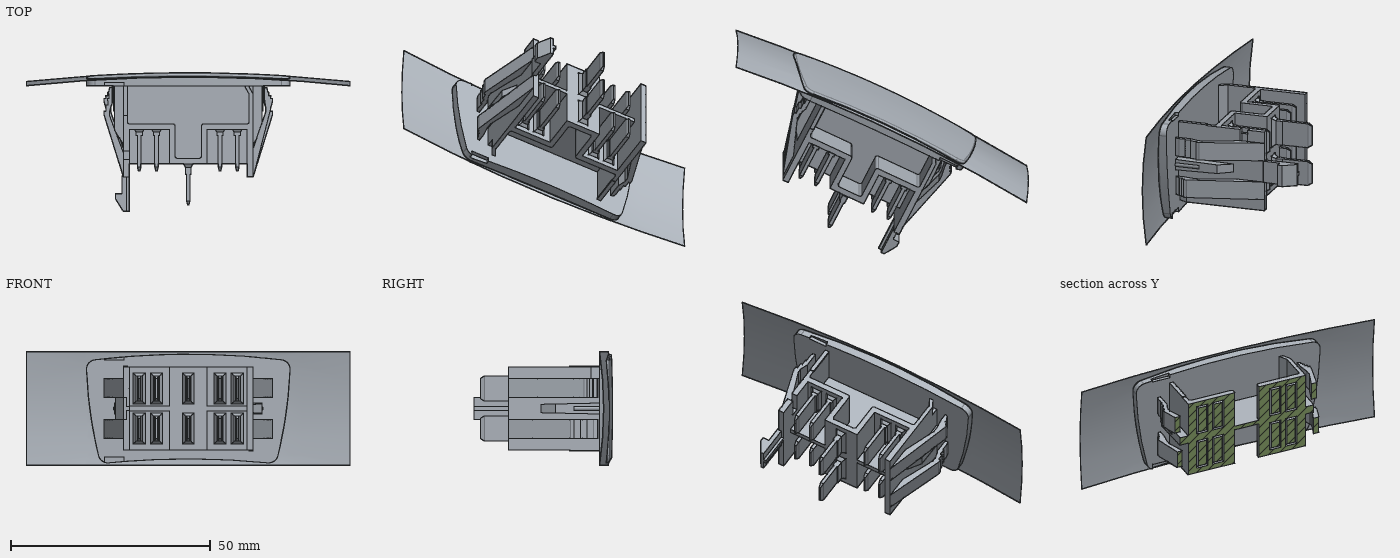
import cadquery as cq


PART_DEPTH = 34.73

PANEL_LENGTH = 81.0
PANEL_HEIGHT = 28.45
PANEL_THICKNESS = 0.12
PANEL_CREST = 3.3
PANEL_SAG_X = 2.15
PANEL_SAG_Z = 1.0

BEZEL_TOP_CORNER = (25.5, 11.9)
BEZEL_BOTTOM_CORNER = (21.9, -13.8)
BEZEL_TOP_MID_Z = 13.6
BEZEL_BOTTOM_MID_Z = -12.6
BEZEL_SIDE_MID = (24.55, -0.9)
BEZEL_CORNER_RADIUS = 2.4
BEZEL_CREST = 3.35
BEZEL_SAG_Z = 0.3
BEZEL_FRONT_RADIUS = 0.5
NOTCH_X = (-20.9, -16.1)
NOTCH_DEPTH = 0.9
NOTCH_INNER_Z = 12.1

HOUSING_HALF_Z = 10.4
PLATE_OUTER_X = 16.25
PLATE_INNER_X = 14.75
PLATE_END_Y = -22.75
BLOCK_END_Y = -19.5
RECESS_FLOOR_Y = -10.95
RECESS_INNER_X = 4.7
CAVITY_HALF_X = 15.25
CAVITY_END_Y = -9.5
STEM_HALF_X = 3.3
STEM_END_Y = -18.1
CAVITY_RADIUS = 0.6
WEB_THICKNESS = 1.2

KINK_OFFSET = 1.15
KINK_LENGTH = 2.1
ARM_INNER_Z = 2.8
ARM_OUTER_Z = 7.45
ARM_REACH = 21.1
ARM_INNER_X = 18.95
ARM_TIP = (-ARM_INNER_X, -0.3)
RIB_OUTER_X = 18.5
RIB_TAPER_Y = -11.0
RIB_END_Y = -14.6
RIB_ROOT_WIDTH = 2.75
RIB_END_WIDTH = 2.1
BEAD_RADIUS = 0.65
BEAD_LENGTH = 6.3
BEAD_RISE = 0.2
PAD_INNER_X = 15.2
PAD_HEIGHT = 0.2
PAD_LENGTH = 7.4
SLOT_Y = (-18.35, -16.3)
SLOT_FLOOR_Z = 5.0

HOOK_OUTER_X = -16.6
HOOK_INNER_X = -15.45
HOOK_TIP_X = -18.25
HOOK_SHOULDER_Y = -26.9
HOOK_NOSE_Y = -28.2
HOOK_END_Y = BEZEL_CREST - PART_DEPTH
HOOK_HALF_Z = ARM_INNER_Z
HOOK_STIFFENER_WIDTH = 1.0

TERMINAL_ROW_Z = 5.0
SIDE_TERMINAL_X = (7.93, 12.27)
POCKET_HEIGHT = 7.85
BLADE_HEIGHT = 6.3
BLADE_WIDTH = 0.9
TIP_WIDTH = 0.4
TIP_LENGTH = 1.0
TIP_CHAMFER = 0.6
SPARE = 5.0
OVERLAP = 0.2


def box(x0, x1, y0, y1, z0, z1):
    """Box between two opposite corners."""
    return cq.Workplane("XY").box(x1 - x0, y1 - y0, z1 - z0, centered=False).translate((x0, y0, z0))


def prism(points, z0, z1):
    """Polygon in the XY plane, raised from z0 to z1."""
    return cq.Workplane("XY", origin=(0, 0, z0)).polyline(points).close().extrude(z1 - z0)


def turned(body):
    """Copy of a body turned half round about the Y axis."""
    return body.rotate((0, 0, 0), (0, 1, 0), 180)


def domed_body(crest, sag_z):
    """Ring whose outside is a double-curved surface with its crest at a given Y."""
    radius_z = (PANEL_HEIGHT / 2) ** 2 / (2 * sag_z)
    axis_y = crest - radius_z
    end = crest - PANEL_SAG_X
    base = end - SPARE
    half = PANEL_LENGTH / 2
    profile = (
        cq.Workplane("XY")
        .moveTo(-half, base)
        .lineTo(-half, end)
        .threePointArc((0, crest), (half, end))
        .lineTo(half, base)
        .close()
    )
    return profile.revolve(360, (0, axis_y, 0), (1, axis_y, 0))


def panel():
    front = domed_body(PANEL_CREST, PANEL_SAG_Z)
    rear = domed_body(PANEL_CREST - PANEL_THICKNESS, PANEL_SAG_Z)
    sheet = front.cut(rear)
    half_x = PANEL_LENGTH / 2 + SPARE
    half_z = PANEL_HEIGHT / 2
    return sheet.intersect(box(-half_x, half_x, -SPARE, PANEL_CREST + SPARE, -half_z, half_z))


def bezel():
    top_x, top_z = BEZEL_TOP_CORNER
    bottom_x, bottom_z = BEZEL_BOTTOM_CORNER
    side_x, side_z = BEZEL_SIDE_MID
    blank = (
        cq.Workplane("XZ")
        .moveTo(-top_x, top_z)
        .threePointArc((0, BEZEL_TOP_MID_Z), (top_x, top_z))
        .threePointArc((side_x, side_z), (bottom_x, bottom_z))
        .threePointArc((0, BEZEL_BOTTOM_MID_Z), (-bottom_x, bottom_z))
        .threePointArc((-side_x, side_z), (-top_x, top_z))
        .close()
        .extrude(-(BEZEL_CREST + SPARE))
        .edges("|Y")
        .fillet(BEZEL_CORNER_RADIUS)
    )
    body = blank.intersect(domed_body(BEZEL_CREST, BEZEL_SAG_Z))
    body = body.faces(">Y").edges().fillet(BEZEL_FRONT_RADIUS)
    for z0, z1 in ((NOTCH_INNER_Z, PANEL_HEIGHT), (-PANEL_HEIGHT, -NOTCH_INNER_Z)):
        body = body.cut(box(*NOTCH_X, -SPARE, NOTCH_DEPTH, z0, z1))
    return body


def cavity():
    """T-shaped cavity open at the top of the housing, with rounded inner corners."""
    outline = [
        (-CAVITY_HALF_X, 0),
        (-CAVITY_HALF_X, CAVITY_END_Y),
        (-STEM_HALF_X, CAVITY_END_Y),
        (-STEM_HALF_X, STEM_END_Y),
        (STEM_HALF_X, STEM_END_Y),
        (STEM_HALF_X, CAVITY_END_Y),
        (CAVITY_HALF_X, CAVITY_END_Y),
        (CAVITY_HALF_X, 0),
    ]
    body = prism(outline, WEB_THICKNESS / 2, HOUSING_HALF_Z + SPARE)
    return body.edges("|Z and (not >Y)").fillet(CAVITY_RADIUS)


def housing():
    body = box(-PLATE_OUTER_X, PLATE_OUTER_X, PLATE_END_Y, OVERLAP, -HOUSING_HALF_Z, HOUSING_HALF_Z)
    body = body.cut(
        box(-PLATE_INNER_X, PLATE_INNER_X, PLATE_END_Y, BLOCK_END_Y, -HOUSING_HALF_Z, HOUSING_HALF_Z)
    )
    recess = box(
        RECESS_INNER_X, PLATE_INNER_X, BLOCK_END_Y, RECESS_FLOOR_Y, WEB_THICKNESS / 2, HOUSING_HALF_Z
    )
    recesses = recess.union(recess.mirror("YZ"))
    upper_voids = cavity().union(recesses)
    return body.cut(upper_voids).cut(turned(upper_voids))


def kink_wedge(root_x, bottom_z):
    """Wedge by which a face of the +X plate leans inward toward the bezel."""
    corners = [(root_x, 0), (root_x, -KINK_LENGTH), (root_x - KINK_OFFSET, 0)]
    return prism(corners, bottom_z, HOUSING_HALF_Z)


def kink_plates(body):
    """Lean the upper half of the +X plate and the lower half of the -X plate inward at the bezel.

    The inner faces lean over the full height of the cavity, the outer faces only at the corner.
    """
    added = kink_wedge(CAVITY_HALF_X, WEB_THICKNESS / 2)
    removed = kink_wedge(PLATE_OUTER_X, ARM_OUTER_Z)
    body = body.union(added).union(turned(added))
    return body.cut(removed).cut(turned(removed))


def plate_pads():
    """Low pads on the upper edge of the -X plate and the lower edge of the +X plate."""
    bottom_z = HOUSING_HALF_Z - OVERLAP
    top_z = HOUSING_HALF_Z + PAD_HEIGHT
    pad = box(-PLATE_OUTER_X, -PAD_INNER_X, -PAD_LENGTH, OVERLAP, bottom_z, top_z)
    return pad.union(turned(pad))


def plate_slot():
    """Slot through the -X plate, open at its upper edge."""
    return box(-PLATE_OUTER_X, -PLATE_INNER_X, *SLOT_Y, SLOT_FLOOR_Z, HOUSING_HALF_Z)


def side_rib():
    """Rib in the middle of the +X plate, thinner toward its tapered end, with a round bead on it."""
    root_x = PLATE_OUTER_X - OVERLAP
    outline = [
        (root_x, OVERLAP),
        (RIB_OUTER_X, OVERLAP),
        (RIB_OUTER_X, RIB_TAPER_Y),
        (PLATE_OUTER_X, RIB_END_Y),
        (root_x, RIB_END_Y),
    ]
    root_half = RIB_ROOT_WIDTH / 2
    end_half = RIB_END_WIDTH / 2
    thickness = [
        (OVERLAP, root_half),
        (RIB_END_Y, end_half),
        (RIB_END_Y, -end_half),
        (OVERLAP, -root_half),
    ]
    blank = prism(outline, -root_half, root_half)
    rib = blank.intersect(cq.Workplane("YZ").polyline(thickness).close().extrude(RIB_OUTER_X))
    bead = (
        cq.Workplane("XZ", origin=(RIB_OUTER_X + BEAD_RISE - BEAD_RADIUS, OVERLAP, 0))
        .circle(BEAD_RADIUS)
        .extrude(BEAD_LENGTH + OVERLAP)
    )
    return rib.union(bead)


def spring_arm(teeth, knee, root_y, z0, z1):
    """Spring arm on the -X plate: toothed outer side, bent inner side, free tip at the bezel.

    teeth runs down the outer side, knee runs down the inner side, and root_y is where
    the inner side meets the plate.
    """
    plate_x = -PLATE_OUTER_X
    sunk_x = OVERLAP - PLATE_OUTER_X
    foot = [(plate_x, PLATE_END_Y), (sunk_x, PLATE_END_Y), (sunk_x, root_y), (plate_x, root_y)]
    return prism([ARM_TIP, *teeth, *foot, *reversed(knee)], z0, z1)


def long_stop_arm():
    """Upper -X arm: its retaining teeth lie further from the bezel."""
    teeth = [
        (-19.7, -0.4),
        (-19.9, -1.4),
        (-19.85, -3.1),
        (-20.15, -3.1),
        (-20.1, -4.7),
        (-20.6, -4.7),
        (-20.6, -6.3),
        (-ARM_REACH, -6.3),
        (-ARM_REACH, -7.2),
    ]
    knee = [(-ARM_INNER_X, -4.2), (-19.7, -6.3), (-19.7, -7.4)]
    return spring_arm(teeth, knee, -16.65, ARM_INNER_Z, ARM_OUTER_Z)


def short_stop_arm():
    """Lower -X arm: its retaining teeth lie close to the bezel."""
    teeth = [
        (-19.7, -0.6),
        (-19.85, -1.4),
        (-20.2, -1.65),
        (-20.15, -2.4),
        (-20.7, -2.4),
        (-20.6, -3.1),
        (-ARM_REACH, -3.1),
        (-ARM_REACH, -3.8),
    ]
    knee = [(-ARM_INNER_X, -2.4), (-19.35, -5.0), (-19.35, -6.5)]
    return spring_arm(teeth, knee, -15.5, -ARM_OUTER_Z, -ARM_INNER_Z)


def hook():
    """Catch that extends the -X plate, stiffened by a thin rib on its inner face."""
    root_y = PLATE_END_Y + OVERLAP
    outline = [
        (HOOK_INNER_X, root_y),
        (HOOK_OUTER_X, root_y),
        (HOOK_OUTER_X, HOOK_SHOULDER_Y),
        (HOOK_TIP_X, HOOK_SHOULDER_Y),
        (HOOK_TIP_X, HOOK_NOSE_Y),
        (-PLATE_OUTER_X, HOOK_END_Y),
        (HOOK_INNER_X, HOOK_END_Y),
    ]
    catch = prism(outline, -HOOK_HALF_Z, HOOK_HALF_Z)
    half = HOOK_STIFFENER_WIDTH / 2
    stiffener = box(HOOK_INNER_X - OVERLAP, -PLATE_INNER_X, HOOK_END_Y, root_y, -half, half)
    return catch.union(stiffener)


def frustum(x, z, y, length, wide_end, narrow_end):
    """Rectangular taper toward -Y from (width, height) at y to another over a length."""
    return (
        cq.Workplane("XZ", origin=(x, y, z))
        .rect(*wide_end)
        .workplane(offset=length)
        .rect(*narrow_end)
        .loft()
    )


def bar(x, z, width, y0, y1):
    """Part of a terminal with full blade height and a given width."""
    half_width = width / 2
    half_height = BLADE_HEIGHT / 2
    return box(x - half_width, x + half_width, y0, y1, z - half_height, z + half_height)


def add_terminal(body, x, z, wall_y, style):
    """Sink a pocket into a wall and raise a tapered foot, a neck and a blade out of it."""
    pocket = (style["pocket_width"], POCKET_HEIGHT)
    foot_y = wall_y + style["pocket_depth"]
    neck_y = wall_y - style["foot_rise"]
    neck_end_y = neck_y - style["neck_length"]
    tip_y = style["end_y"] + TIP_LENGTH
    neck_width = style["neck_width"]
    half_width = pocket[0] / 2
    half_height = pocket[1] / 2

    body = body.cut(
        box(x - half_width, x + half_width, wall_y, foot_y, z - half_height, z + half_height)
    )
    foot = frustum(x, z, foot_y, foot_y - neck_y, pocket, (neck_width, BLADE_HEIGHT))
    blade_section = (BLADE_WIDTH, BLADE_HEIGHT)
    tip_section = (TIP_WIDTH, BLADE_HEIGHT - 2 * TIP_CHAMFER)
    tip = frustum(x, z, tip_y, TIP_LENGTH, blade_section, tip_section)
    neck = bar(x, z, neck_width, neck_end_y, neck_y)
    blade = bar(x, z, BLADE_WIDTH, tip_y, neck_end_y)
    return body.union(foot).union(neck).union(blade).union(tip)


SIDE_TERMINAL = {
    "pocket_width": 3.05,
    "pocket_depth": 0.75,
    "foot_rise": 0.6,
    "neck_width": 1.6,
    "neck_length": 0.8,
    "end_y": -21.3,
}
CENTRE_TERMINAL = {
    "pocket_width": 2.8,
    "pocket_depth": 0.4,
    "foot_rise": 0.9,
    "neck_width": 1.4,
    "neck_length": 1.7,
    "end_y": -29.75,
}


def add_terminals(body):
    for z in (-TERMINAL_ROW_Z, TERMINAL_ROW_Z):
        body = add_terminal(body, 0, z, BLOCK_END_Y, CENTRE_TERMINAL)
        for x in SIDE_TERMINAL_X:
            body = add_terminal(body, x, z, RECESS_FLOOR_Y, SIDE_TERMINAL)
            body = add_terminal(body, -x, z, RECESS_FLOOR_Y, SIDE_TERMINAL)
    return body


body = kink_plates(housing()).union(plate_pads())
body = add_terminals(body)
for feature in (side_rib(), long_stop_arm(), short_stop_arm()):
    body = body.union(feature).union(turned(feature))
body = body.cut(plate_slot())
result = body.union(hook()).union(bezel()).union(panel())